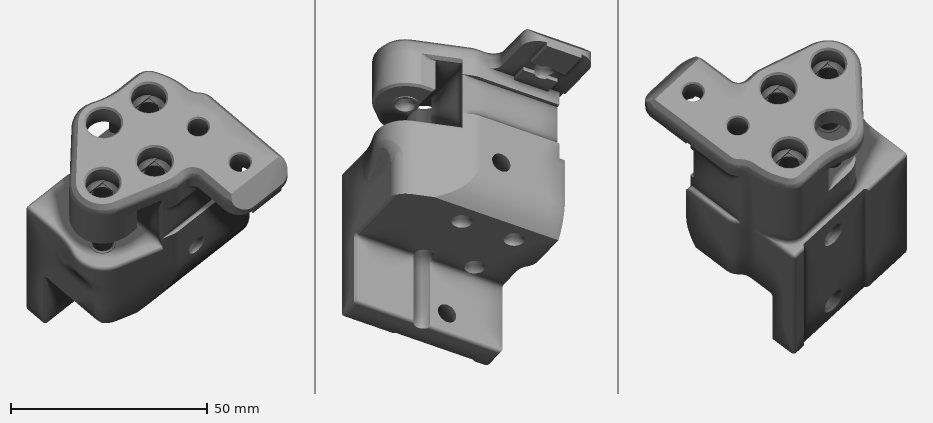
import cadquery as cq
import math

total_height = 71.4
reach_x = 51.65
front_y = -2.0
back_y = 46.02

plate_thickness = 7.4
plate_width = 43.5
block_bottom = 21.2
block_top = 45.0
block_x = 34.8
outer_round = 1.0
small_chamfer = 0.6
recess_depth = 1.05
recess_y = 27.2
recess_width = 23.0
recess_flank = 0.85
inner_round = 1.0
side_cut_radius = 20.0
side_cut_top = 32.2
undercut_radius = 12.0
undercut_corner = 6.7
undercut_bottom = 32.6
seam_round = 4.0

tower_x = 2.56
tower_front = 17.6
tower_back = 44.4
tower_step = 55.4
tower_boss_radius = 6.2
tower_blend = 8.0
tower_flare_x = 30.5
tower_flare = 1.6
notch_radius = 8.4
notch_tip_round = 1.0
groove_depth = 1.15
groove_bottom = 49.2
groove_top = 61.4
base_fillet = 1.0

cap_bottom = 65.4
cap_chamfer = 1.7
cap_blend = 2.0
cap_underside_chamfer = 0.8
arm_front = 25.9
arm_corner = 5.0
arm_inner_corner = 2.5
arm_end_chamfer = 4.5
shoulder_x = 14.65
shoulder_radius = 20.0
shoulder_corner = 4.5
arm_start_x = 20.9
slant_top_y = 19.8
slant_round_reach = 1.0
outline_blend = 20.0
hanging_bottom = 55.75
hanging_x = 10.6
hanging_back = 10.2
hanging_round = 3.05
hanging_start_angle = math.radians(228)
ring_diameter = 7.0
ring_height = 0.25
pad_height = 1.1
pad_slot = 3.7

screw_a = (10.8, 33.4)
screw_b = (8.43, 19.7)
screw_c = (26.1, 20.7)
screw_d = (21.75, 6.48)
arm_screws = [(26.1, 36.1), (41.5, 36.1)]
clear_diameter = 5.4
tight_diameter = 5.2
head_diameter = 9.0
front_head_diameter = 8.8
head_depth = 5.2
bridge_step = 0.3
head_chamfer = 0.5
arm_hole_chamfer = 0.4
lower_hole_depth = 16.0
lower_hole_chamfer = 0.4
side_screw_z = [6.4, 36.7]
side_screw_mouth = 7.0

boss_b_left_gap = 0.27
boss_b_radius = screw_b[0] - boss_b_left_gap
boss_d_radius = screw_d[1] - front_y
tower_boss_center = (tower_x + tower_boss_radius, screw_b[1])
tower_boss_side_angle = math.radians(250)
big = 100.0
margin = 0.01


def along(point, angle, distance):
    return (point[0] + distance * math.cos(angle), point[1] + distance * math.sin(angle))


def direction(start, end):
    return math.atan2(end[1] - start[1], end[0] - start[0])


def midpoint(start, end):
    return ((start[0] + end[0]) / 2, (start[1] + end[1]) / 2)


def arc_middle(center, start, end):
    """Middle of the shorter arc from start to end around center."""
    return along(center, direction(center, midpoint(start, end)), math.dist(center, start))


slant_top = (block_x, slant_top_y)
slant_angle = direction(screw_d, slant_top) + math.asin(boss_d_radius / math.dist(screw_d, slant_top))
boss_d_slant = along(screw_d, slant_angle - math.pi / 2, boss_d_radius)

slant_round_radius = slant_round_reach / math.tan((math.pi / 2 - slant_angle) / 2)
slant_round_start = along(slant_top, slant_angle + math.pi, slant_round_reach)
slant_round_end = (block_x, slant_top_y + slant_round_reach)

diagonal_normal = (
    direction(screw_b, screw_d)
    - math.pi / 2
    - math.asin((boss_d_radius - boss_b_radius) / math.dist(screw_b, screw_d))
)
boss_b_diagonal = along(screw_b, diagonal_normal, boss_b_radius)
boss_d_diagonal = along(screw_d, diagonal_normal, boss_d_radius)
boss_d_front = along(screw_d, -math.pi / 2, boss_d_radius)


def add_back_shoulder(wire):
    """Continue from the arm's back edge down the S-shaped step to the shoulder."""
    step_start = (arm_start_x, back_y)
    step_end = (shoulder_x, plate_width)
    rise = back_y - plate_width
    run = arm_start_x - shoulder_x
    step_radius = (run ** 2 + rise ** 2) / (4 * rise)
    step_middle = midpoint(step_start, step_end)
    upper_center = (arm_start_x, back_y - step_radius)
    lower_center = (shoulder_x, plate_width + step_radius)
    return (
        wire.lineTo(*step_start)
        .threePointArc(arc_middle(upper_center, step_start, step_middle), step_middle)
        .threePointArc(arc_middle(lower_center, step_middle, step_end), step_end)
    )


def cap_outline():
    """Closed outline of the cap with its arm."""
    blend_x = tower_x - outline_blend
    blend_reach = boss_b_radius + outline_blend
    blend_y = screw_b[1] + math.sqrt(blend_reach ** 2 - (screw_b[0] - blend_x) ** 2)
    blend_center = (blend_x, blend_y)
    boss_b_blend = along(screw_b, direction(screw_b, blend_center), boss_b_radius)
    left_bottom = (tower_x, blend_y)

    shoulder_center = (shoulder_x, plate_width - shoulder_radius)
    corner_x = tower_x + shoulder_corner
    corner_reach = shoulder_radius - shoulder_corner
    corner_y = shoulder_center[1] + math.sqrt(corner_reach ** 2 - (shoulder_x - corner_x) ** 2)
    corner_center = (corner_x, corner_y)
    left_top = (tower_x, corner_y)
    corner_end = along(shoulder_center, direction(shoulder_center, corner_center), shoulder_radius)
    shoulder_end = (shoulder_x, plate_width)

    wire = (
        cq.Workplane("XY")
        .moveTo(*boss_d_diagonal)
        .threePointArc(boss_d_front, boss_d_slant)
        .lineTo(*slant_round_start)
        .radiusArc(slant_round_end, -slant_round_radius)
        .lineTo(block_x, arm_front - arm_inner_corner)
        .radiusArc((block_x + arm_inner_corner, arm_front), arm_inner_corner)
        .lineTo(reach_x - arm_corner, arm_front)
        .radiusArc((reach_x, arm_front + arm_corner), -arm_corner)
        .lineTo(reach_x, back_y - arm_corner)
        .radiusArc((reach_x - arm_corner, back_y), -arm_corner)
    )
    return (
        add_back_shoulder(wire)
        .threePointArc(arc_middle(shoulder_center, shoulder_end, corner_end), corner_end)
        .threePointArc(arc_middle(corner_center, corner_end, left_top), left_top)
        .lineTo(*left_bottom)
        .threePointArc(arc_middle(blend_center, left_bottom, boss_b_blend), boss_b_blend)
        .threePointArc(arc_middle(screw_b, boss_b_blend, boss_b_diagonal), boss_b_diagonal)
        .close()
    )


def cap_prism(bottom, top):
    return cap_outline().extrude(top - bottom).translate((0, 0, bottom))


def block_outline():
    """Closed outline of the block, and the X where the front boss starts to blend in."""
    blend_reach = boss_d_radius + outline_blend
    blend_x = screw_d[0] - math.sqrt(blend_reach ** 2 - (screw_d[1] + outline_blend) ** 2)
    blend_center = (blend_x, -outline_blend)
    blend_start = (blend_x, 0)
    blend_end = along(screw_d, direction(screw_d, blend_center), boss_d_radius)
    wire = (
        cq.Workplane("XY")
        .moveTo(0, 0)
        .lineTo(*blend_start)
        .threePointArc(arc_middle(blend_center, blend_start, blend_end), blend_end)
        .threePointArc(boss_d_front, boss_d_slant)
        .lineTo(*slant_round_start)
        .radiusArc(slant_round_end, -slant_round_radius)
        .lineTo(block_x, back_y)
    )
    return add_back_shoulder(wire).lineTo(0, plate_width).close(), blend_x


def box(x0, x1, y0, y1, z0, z1):
    return cq.Workplane("XY").box(x1 - x0, y1 - y0, z1 - z0, centered=False).translate((x0, y0, z0))


def hole(position, diameter, bottom, top):
    return cq.Workplane("XY", origin=(*position, bottom)).circle(diameter / 2).extrude(top - bottom)


def countersink(position, diameter, depth, top):
    """Conical mouth that widens a hole by depth all round."""
    small = diameter / 2
    profile = [(0, 0), (small + depth, 0), (small, -depth), (0, -depth)]
    cone = cq.Workplane("XZ").polyline(profile).close().revolve(360, (0, 0), (0, 1))
    return cone.translate((*position, top))


def side_profile():
    """L-shaped section of plate and block, with the block's lower +X corner swept back."""
    sweep_rise = side_cut_top - block_bottom
    sweep_x = block_x - side_cut_radius + math.sqrt(side_cut_radius ** 2 - sweep_rise ** 2)
    return (
        cq.Workplane("XZ")
        .lineTo(plate_thickness, 0)
        .lineTo(plate_thickness, block_bottom - inner_round)
        .radiusArc((plate_thickness + inner_round, block_bottom), inner_round)
        .lineTo(sweep_x, block_bottom)
        .radiusArc((block_x, side_cut_top), -side_cut_radius)
        .lineTo(block_x, block_top)
        .lineTo(0, block_top)
        .close()
    )


def make_undercut(blend_x):
    """Space below the front boss, closed above by a concave arc and a rounded corner."""
    below = (
        cq.Workplane("XZ")
        .moveTo(blend_x, undercut_bottom + undercut_corner)
        .radiusArc((blend_x + undercut_corner, undercut_bottom), -undercut_corner)
        .lineTo(block_x, undercut_bottom)
        .lineTo(block_x, block_bottom)
        .lineTo(blend_x, block_bottom)
        .close()
        .extrude(-front_y)
    )
    hollow = (
        cq.Workplane("YZ", origin=(blend_x, -undercut_radius, undercut_bottom))
        .circle(undercut_radius)
        .extrude(block_x - blend_x)
    )
    above = box(0, block_x, -undercut_radius, 0, undercut_bottom, block_top)
    return below.union(hollow.intersect(above))


def make_body():
    """Plate and block with rounded edges and the undercut below the front boss."""
    outline, blend_x = block_outline()
    body = outline.extrude(block_top).intersect(side_profile().extrude(big, both=True))
    body = body.cut(make_undercut(blend_x))
    lower_front = cq.selectors.BoxSelector(
        (plate_thickness - margin, -margin, -margin),
        (block_x, margin, block_bottom + margin),
    )
    body = body.edges(lower_front).chamfer(small_chamfer)
    body = body.faces("<X or >Z or <Z").edges().fillet(outer_round)
    boss_seam = cq.selectors.BoxSelector(
        (screw_d[0], -margin, block_bottom + margin), (block_x, margin, undercut_bottom)
    )
    return body.edges("|Z").edges(boss_seam).fillet(seam_round)


def make_recess():
    """Shallow channel with sloped flanks along the plate's -X face."""
    half = recess_width / 2
    profile = [
        (0, recess_y - half - recess_flank),
        (recess_depth, recess_y - half),
        (recess_depth, recess_y + half),
        (0, recess_y + half + recess_flank),
    ]
    return cq.Workplane("XY").polyline(profile).close().extrude(block_top)


def tower_outline():
    """Back column with the -X boss blended into its -Y face."""
    reach = tower_boss_radius + tower_blend
    drop = tower_boss_center[1] - (tower_front - tower_blend)
    blend_x = tower_boss_center[0] + math.sqrt(reach ** 2 - drop ** 2)
    blend_center = (blend_x, tower_front - tower_blend)
    boss_start = (tower_x, tower_boss_center[1])
    boss_side = along(tower_boss_center, tower_boss_side_angle, tower_boss_radius)
    boss_end = along(tower_boss_center, direction(tower_boss_center, blend_center), tower_boss_radius)
    blend_end = (blend_x, tower_front)
    return (
        cq.Workplane("XY")
        .moveTo(tower_x, tower_back)
        .lineTo(*boss_start)
        .threePointArc(boss_side, boss_end)
        .threePointArc(arc_middle(blend_center, boss_end, blend_end), blend_end)
        .lineTo(tower_flare_x, tower_front)
        .lineTo(block_x, tower_front - tower_flare)
        .lineTo(block_x, tower_back)
        .close()
    )


def make_tower():
    """Column that carries the cap, notched above the -X screw and grooved on its +X side."""
    bottom = block_top - outer_round
    top = cap_bottom + cap_underside_chamfer
    tower = tower_outline().extrude(top - bottom).translate((0, 0, bottom))
    tower = tower.intersect(cap_prism(bottom, top).intersect(box(0, block_x, 0, back_y, bottom, top)))
    tower = tower.cut(hole(screw_b, 2 * notch_radius, tower_step, top))
    notch_y = screw_b[1] + math.sqrt(notch_radius ** 2 - (screw_b[0] - tower_x) ** 2)
    notch_tip = cq.selectors.BoxSelector(
        (tower_x - margin, notch_y - margin, tower_step), (tower_x + margin, notch_y + margin, top)
    )
    tower = tower.edges(notch_tip).fillet(notch_tip_round)
    groove = box(block_x - groove_depth, block_x, 0, back_y, groove_bottom, groove_top)
    return tower.cut(groove)


def make_hanging_boss():
    """Front boss below the cap, with a raised ring around its screw."""
    top = cap_bottom + cap_underside_chamfer
    corner_center = (hanging_x + hanging_round, hanging_back - hanging_round)
    corner_start = along(corner_center, hanging_start_angle, hanging_round)
    limit = (
        cq.Workplane("XY", origin=(0, 0, hanging_bottom))
        .moveTo(corner_start[0], front_y)
        .lineTo(*corner_start)
        .threePointArc((hanging_x, corner_center[1]), (corner_center[0], hanging_back))
        .lineTo(tower_flare_x, hanging_back)
        .lineTo(tower_flare_x, front_y)
        .close()
        .extrude(top - hanging_bottom)
    )
    boss = cap_prism(hanging_bottom, top).intersect(limit)
    boss = boss.faces("<Z").edges().chamfer(small_chamfer)
    return boss.union(hole(screw_d, ring_diameter, hanging_bottom - ring_height, hanging_bottom))


def make_arm_pad():
    """Low pad below the arm, split by a cross slot at the outer arm screw."""
    y0 = arm_front + arm_corner
    y1 = back_y - arm_corner
    pad = box(block_x - groove_depth, reach_x, y0, y1, cap_bottom - pad_height, cap_bottom)
    slot_x = arm_screws[1][0]
    slot = box(slot_x - pad_slot / 2, slot_x + pad_slot / 2, y0, y1, cap_bottom - pad_height, cap_bottom)
    return pad.cut(slot)


def make_cap():
    """Cap with a blended top bevel, a sloped arm end and a bevelled overhang."""
    cap = cap_prism(cap_bottom, total_height)
    cap = cap.faces(">Z").edges().chamfer(cap_chamfer)
    bevel_z = total_height - cap_chamfer
    bevel_foot = cq.selectors.BoxSelector((-big, -big, bevel_z - margin), (big, big, bevel_z + margin))
    cap = cap.edges(bevel_foot).fillet(cap_blend)

    overhang = cq.selectors.BoxSelector(
        (-big, -big, cap_bottom - margin), (block_x, arm_front - arm_inner_corner, cap_bottom + margin)
    )
    cap = cap.edges(overhang).chamfer(cap_underside_chamfer)
    bevel_top = cap_bottom + cap_underside_chamfer
    square_edged = box(block_x, reach_x, front_y, back_y, cap_bottom, bevel_top)
    cap = cap.union(cap_prism(cap_bottom, bevel_top).intersect(square_edged))

    slope = [
        (reach_x - arm_end_chamfer, total_height),
        (reach_x, total_height),
        (reach_x, total_height - arm_end_chamfer),
    ]
    wedge = cq.Workplane("XZ").polyline(slope).close().extrude(big, both=True)
    return cap.cut(wedge)


def bridged_screw_hole(position, head, bottom):
    """Head counterbore, then a slot step and a square step, then the through hole."""
    head_floor = total_height - head_depth
    half = clear_diameter / 2
    x, y = position
    head_hole = hole(position, head, head_floor, total_height)
    slot_limit = box(x - half, x + half, y - head, y + head, head_floor - bridge_step, head_floor)
    slot = hole(position, head, head_floor - bridge_step, head_floor).intersect(slot_limit)
    square = box(x - half, x + half, y - half, y + half, head_floor - 2 * bridge_step, head_floor)
    shaft = hole(position, clear_diameter, bottom, head_floor)
    mouth = countersink(position, head, head_chamfer, total_height)
    return head_hole.union(slot).union(square).union(shaft).union(mouth)


def through_hole(position, diameter, chamfer, top):
    return hole(position, diameter, 0, top).union(countersink(position, diameter, chamfer, top))


def side_screw_hole(z):
    """Hole along X with a conical mouth in the recess floor."""
    depth = (side_screw_mouth - clear_diameter) / 2
    shaft = cq.Workplane("YZ", origin=(0, recess_y, z)).circle(clear_diameter / 2).extrude(block_x)
    mouth = (
        cq.Workplane("YZ", origin=(recess_depth, recess_y, z))
        .circle(side_screw_mouth / 2)
        .workplane(offset=depth)
        .circle(clear_diameter / 2)
        .loft(ruled=True)
    )
    return shaft.union(mouth)


def lower_ring():
    return hole(screw_d, ring_diameter, block_top, block_top + ring_height)


def make_holes():
    holes = [bridged_screw_hole(position, head_diameter, 0) for position in (screw_a, screw_c)]
    holes.append(bridged_screw_hole(screw_d, front_head_diameter, hanging_bottom - ring_height))

    holes.append(hole(screw_b, head_diameter, cap_bottom, total_height))
    holes.append(countersink(screw_b, head_diameter, head_chamfer, total_height))
    holes.append(hole(screw_b, tight_diameter, 0, tower_step))

    ring_top = block_top + ring_height
    holes.append(hole(screw_d, tight_diameter, ring_top - lower_hole_depth, ring_top))
    holes.append(countersink(screw_d, tight_diameter, lower_hole_chamfer, ring_top))

    holes += [through_hole(position, clear_diameter, arm_hole_chamfer, total_height) for position in arm_screws]
    holes += [side_screw_hole(z) for z in side_screw_z]
    return holes


result = make_body().cut(make_recess()).union(make_tower())
tower_foot = cq.selectors.BoxSelector(
    (tower_x, tower_boss_center[1] - 2 * tower_boss_radius, block_top - margin),
    (tower_flare_x + margin, tower_front + margin, block_top + margin),
)
result = result.edges(tower_foot).fillet(base_fillet)
for added in (lower_ring(), make_hanging_boss(), make_cap(), make_arm_pad()):
    result = result.union(added)
for removed in make_holes():
    result = result.cut(removed)